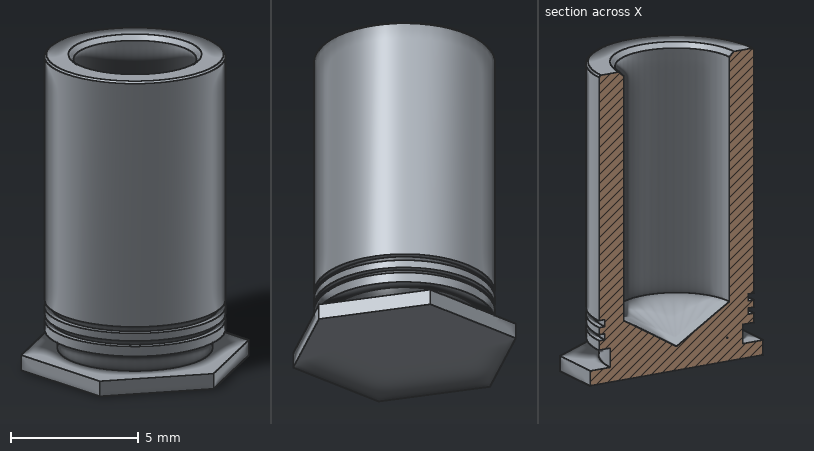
import cadquery as cq
import math

total_height = 12.7

hex_sides = 6
hex_across_flats = 7.92
hex_across_corners = hex_across_flats / math.cos(math.pi / hex_sides)
head_thickness = 0.63

barrel_diameter = 7.11
neck_diameter = 6.1
groove_diameter = 6.6
neck_top = 1.4
lower_groove_bottom = 1.8
lower_groove_top = 2.03
upper_groove_bottom = 2.34
upper_groove_top = 2.61
rim_chamfer = 0.08

bore_diameter = 4.83
mouth_diameter = 5.23
mouth_chamfer = (mouth_diameter - bore_diameter) / 2
drill_point_angle = 118
drill_tip_height = 1.0
drill_cone_height = bore_diameter / 2 / math.tan(math.radians(drill_point_angle / 2))


def make_head():
    """Hexagonal head with two corners on the X axis."""
    return cq.Workplane("XY").polygon(hex_sides, hex_across_corners).extrude(head_thickness)


def make_shank():
    """Neck and barrel above the head, with the rim of the barrel chamfered."""
    neck = cq.Workplane("XY").circle(neck_diameter / 2).extrude(neck_top)
    barrel = (
        cq.Workplane("XY")
        .workplane(offset=neck_top)
        .circle(barrel_diameter / 2)
        .extrude(total_height - neck_top)
        .faces(">Z")
        .chamfer(rim_chamfer)
    )
    return neck.union(barrel)


def make_groove(bottom, top):
    """Ring that cuts the barrel down to the groove diameter."""
    return (
        cq.Workplane("XY")
        .workplane(offset=bottom)
        .circle(barrel_diameter / 2)
        .circle(groove_diameter / 2)
        .extrude(top - bottom)
    )


def make_bore():
    """Drilled hole with a conical bottom and a chamfered mouth."""
    bore_radius = bore_diameter / 2
    return (
        cq.Workplane("XZ")
        .moveTo(0, drill_tip_height)
        .lineTo(bore_radius, drill_tip_height + drill_cone_height)
        .lineTo(bore_radius, total_height - mouth_chamfer)
        .lineTo(mouth_diameter / 2, total_height)
        .lineTo(0, total_height)
        .close()
        .revolve(360, (0, 0, 0), (0, 1, 0))
    )


result = make_head().union(make_shank())
for groove_bottom, groove_top in (
    (lower_groove_bottom, lower_groove_top),
    (upper_groove_bottom, upper_groove_top),
):
    result = result.cut(make_groove(groove_bottom, groove_top))
result = result.cut(make_bore())